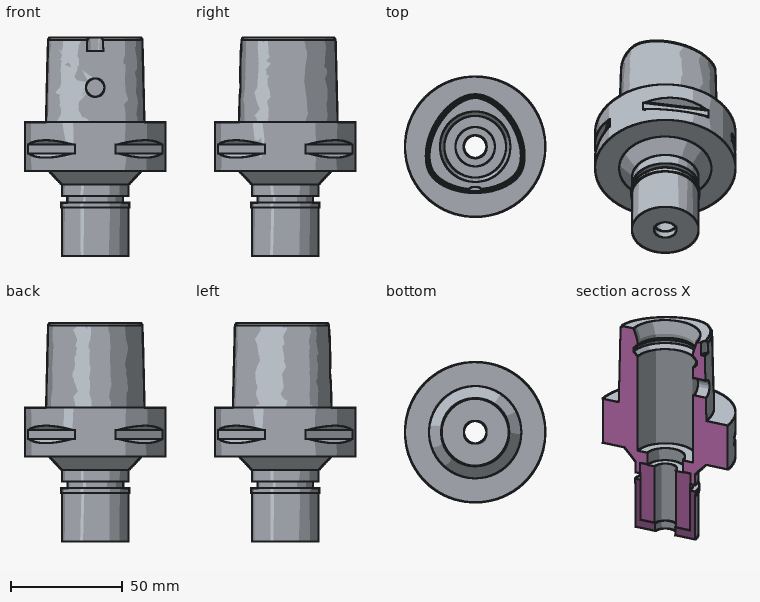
import cadquery as cq
import math

total_height = 98.0
flange_top = 60.0
flange_bottom = 38.0
cone_bottom = 32.0
collar_bottom = 26.9
nut_height = 23.9
nut_rim_height = 2.2

shank_radius = 22.1
lobe_height = 1.4
lobe_count = 3
taper = 1 / 40
outline_points = 96
shank_chamfer_height = 1.3
shank_chamfer_width = 0.8
flange_diameter = 63.0
flange_radius = flange_diameter / 2
collar_radius = 15.0
cone_top_radius = 20.7

gripper_count = 4
gripper_z = 48.0
gripper_floor_radius = 27.7
gripper_floor_height = 4.1
gripper_slot_depth = 0.7
gripper_mouth_height = 7.8

notch_radius = 4.5
notch_center_y = -22.4
notch_depth = 6.1
chip_hole_radius = 4.1
chip_hole_z = 75.5
chip_hole_wall = 0.6

mouth_radius = 15.8
bore_radius = 13.8
mouth_cone_depth = 6.0
lip_depth = 7.8
undercut_radius = 15.9
undercut_bottom_depth = 13.4
bore_floor = flange_bottom
throat_radius = 8.8

spindle_radius = 12.5
spindle_bore_radius = 5.2
nut_rim_radius = 15.3
nut_radius = collar_radius
nut_floor_thickness = 3.9
nut_opening_radius = 5.0


def revolved(profile):
    """Turn a closed profile of (radius, height) points about Z."""
    return cq.Workplane("XZ").polyline(profile).close().revolve(360, (0, 0), (0, 1))


def shank_outline(mean_radius, z):
    """Curve of constant width with three lobes, one of them toward +Y.

    Its tangent with normal angle a, measured from +Y, lies at the distance
    mean_radius + lobe_height * cos(lobe_count * a) from the axis.
    """
    def point(turn):
        angle = math.pi + turn
        distance = mean_radius + lobe_height * math.cos(lobe_count * angle)
        slope = -lobe_count * lobe_height * math.sin(lobe_count * angle)
        x = -distance * math.sin(angle) - slope * math.cos(angle)
        y = distance * math.cos(angle) - slope * math.sin(angle)
        return cq.Vector(x, y, z)

    step = 2 * math.pi / outline_points
    points = [point(i * step) for i in range(outline_points)]
    return cq.Wire.assembleEdges([cq.Edge.makeSpline(points, periodic=True)])


def make_shank():
    chamfer_z = total_height - shank_chamfer_height
    chamfer_radius = shank_radius - taper * (chamfer_z - flange_top)
    end_radius = chamfer_radius - shank_chamfer_width
    chamfer_outline = shank_outline(chamfer_radius, chamfer_z)
    body = cq.Solid.makeLoft([shank_outline(shank_radius, flange_top), chamfer_outline], True)
    tip = cq.Solid.makeLoft([chamfer_outline, shank_outline(end_radius, total_height)], True)
    return cq.Workplane(body).union(cq.Workplane(tip))


def make_flange_and_collar():
    return revolved([
        (0, collar_bottom),
        (collar_radius, collar_bottom),
        (collar_radius, cone_bottom),
        (cone_top_radius, flange_bottom),
        (flange_radius, flange_bottom),
        (flange_radius, flange_top),
        (0, flange_top),
    ])


def make_holder_bore():
    undercut_step = undercut_radius - bore_radius
    lip_z = total_height - lip_depth
    undercut_bottom = total_height - undercut_bottom_depth
    return revolved([
        (0, total_height),
        (mouth_radius, total_height),
        (bore_radius, total_height - mouth_cone_depth),
        (bore_radius, lip_z),
        (undercut_radius, lip_z - undercut_step),
        (undercut_radius, undercut_bottom + undercut_step),
        (bore_radius, undercut_bottom),
        (bore_radius, bore_floor),
        (throat_radius, bore_floor),
        (throat_radius, cone_bottom),
        (spindle_radius, cone_bottom),
        (spindle_radius, collar_bottom),
        (0, collar_bottom),
    ])


def make_gripper_groove():
    """Groove across the +X side: a shallow straight slot below flanks that widen outward."""
    slot_top_radius = gripper_floor_radius + gripper_slot_depth
    half_floor = gripper_floor_height / 2
    half_mouth = gripper_mouth_height / 2
    return (
        cq.Workplane("XZ", origin=(0, 0, gripper_z))
        .moveTo(gripper_floor_radius, -half_floor)
        .lineTo(slot_top_radius, -half_floor)
        .lineTo(flange_radius, -half_mouth)
        .lineTo(flange_radius, half_mouth)
        .lineTo(slot_top_radius, half_floor)
        .lineTo(gripper_floor_radius, half_floor)
        .close()
        .extrude(flange_radius, both=True)
    )


def make_key_notch():
    return (
        cq.Workplane("XY", origin=(0, notch_center_y, total_height))
        .circle(notch_radius)
        .extrude(-notch_depth)
    )


def make_chip_hole():
    return (
        cq.Workplane("XZ", origin=(0, -bore_radius - chip_hole_wall, chip_hole_z))
        .circle(chip_hole_radius)
        .extrude(shank_radius)
    )


def make_holder():
    body = make_shank().union(make_flange_and_collar())
    body = body.cut(make_holder_bore()).cut(make_key_notch()).cut(make_chip_hole())
    pitch = 360 / gripper_count
    for i in range(gripper_count):
        angle = (i + 0.5) * pitch
        body = body.cut(make_gripper_groove().rotate((0, 0, 0), (0, 0, 1), angle))
    return body.solids()


def make_spindle():
    """Tube that joins the holder's socket to the nut's socket."""
    return (
        cq.Workplane("XY", origin=(0, 0, nut_floor_thickness))
        .circle(spindle_radius)
        .circle(spindle_bore_radius)
        .extrude(cone_bottom - nut_floor_thickness)
    )


def make_nut():
    rim_bottom = nut_height - nut_rim_height
    return revolved([
        (nut_opening_radius, 0),
        (nut_radius, 0),
        (nut_radius, rim_bottom),
        (nut_rim_radius, rim_bottom),
        (nut_rim_radius, nut_height),
        (spindle_radius, nut_height),
        (spindle_radius, nut_floor_thickness),
        (nut_opening_radius, nut_floor_thickness),
    ])


holder = make_holder()
spindle = make_spindle()
nut = make_nut()

result = cq.Compound.makeCompound([holder.val(), spindle.val(), nut.val()])